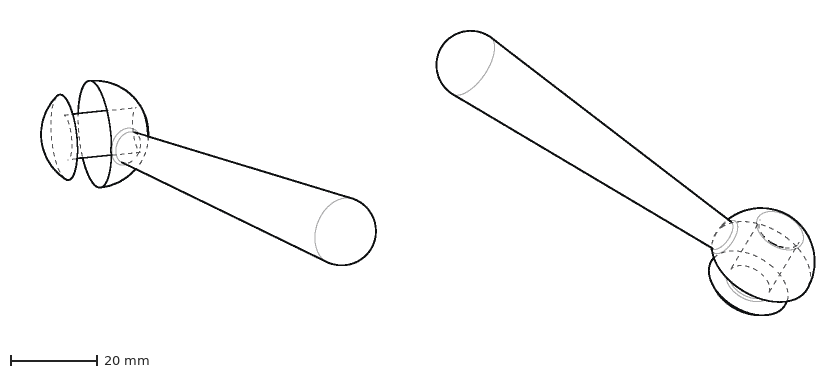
import cadquery as cq
import math

ball_radius = 12.5
wall_thickness = 0.02
cavity_radius = ball_radius - wall_thickness
cap_height = 5.0
cap_face_y = cap_height - ball_radius
stem_radius = 5.2
stem_fillet = 0.5

handle_angle = 20.0
grip_end_x = 87.0
neck_radius = 3.8
neck_fillet = 1.0
grip_end_radius = 8.0
grip_end_distance = grip_end_x / math.cos(math.radians(handle_angle))

half_right_angle = math.pi / 4


def point_at(centre, radius, angle):
    """Point on a circle, with the angle in radians from the first axis."""
    return (centre[0] + radius * math.cos(angle), centre[1] + radius * math.sin(angle))


def make_head():
    """Half section of dome, stem and cap, revolved about the Y axis."""
    round_x = stem_radius + stem_fillet
    dome_round = (round_x, math.sqrt((cavity_radius - stem_fillet) ** 2 - round_x**2))
    tangent_angle = math.atan2(dome_round[1], dome_round[0])
    dome_round_middle = (math.pi + tangent_angle) / 2

    cap_round = (round_x, cap_face_y + stem_fillet)

    cap_radius = math.sqrt(ball_radius**2 - cap_face_y**2)
    cap_middle_angle = (math.atan2(cap_face_y, cap_radius) - math.pi / 2) / 2
    origin = (0, 0)
    profile = (
        cq.Workplane("XY")
        .moveTo(0, ball_radius)
        .threePointArc(point_at(origin, ball_radius, half_right_angle), (ball_radius, 0))
        .lineTo(cavity_radius, 0)
        .threePointArc(
            point_at(origin, cavity_radius, tangent_angle / 2),
            point_at(origin, cavity_radius, tangent_angle),
        )
        .threePointArc(
            point_at(dome_round, stem_fillet, dome_round_middle),
            (stem_radius, dome_round[1]),
        )
        .lineTo(stem_radius, cap_round[1])
        .threePointArc(
            point_at(cap_round, stem_fillet, math.pi + half_right_angle),
            (round_x, cap_face_y),
        )
        .lineTo(cap_radius, cap_face_y)
        .threePointArc(point_at(origin, ball_radius, cap_middle_angle), (0, -ball_radius))
        .close()
    )
    return profile.revolve(360, (0, 0, 0), (0, 1, 0))


def make_handle():
    """Handle turned about its own axis, its root following the inside of the dome."""
    round_y = neck_radius + neck_fillet
    neck_round = (math.sqrt((ball_radius + neck_fillet) ** 2 - round_y**2), round_y)
    ball_angle = math.atan2(neck_round[1], neck_round[0])
    neck_round_middle = (ball_angle + math.pi + 3 * math.pi / 2) / 2

    origin = (0, 0)
    grip_end = (grip_end_distance, 0)
    profile = (
        cq.Workplane("XY")
        .moveTo(cavity_radius, 0)
        .threePointArc(
            point_at(origin, cavity_radius, ball_angle / 2),
            point_at(origin, cavity_radius, ball_angle),
        )
        .lineTo(*point_at(origin, ball_radius, ball_angle))
        .threePointArc(
            point_at(neck_round, neck_fillet, neck_round_middle),
            (neck_round[0], neck_radius),
        )
        .lineTo(grip_end_distance, grip_end_radius)
        .threePointArc(
            point_at(grip_end, grip_end_radius, half_right_angle),
            (grip_end_distance + grip_end_radius, 0),
        )
        .close()
    )
    handle = profile.revolve(360, (0, 0, 0), (1, 0, 0))
    return handle.rotate((0, 0, 0), (0, 0, 1), handle_angle)


result = make_head().union(make_handle())